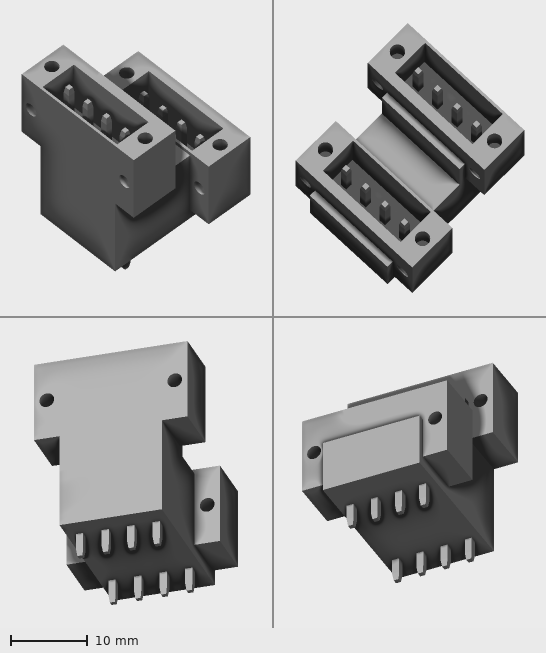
import cadquery as cq

PINS_PER_ROW = 4
PIN_PITCH = 3.5
ROW_PITCH = 13.5
TIER_RISE = 11.5

PIN_SIZE = 1.0
PIN_TIP_SIZE = 0.7
PIN_TAPER = 1.0
PIN_TAIL = 3.2
PIN_RECESS = 1.0
PIN_OFFSET = 3.5

CORE_WIDTH = PINS_PER_ROW * PIN_PITCH
STEP_HEIGHT = 12.1
LEDGE_DEPTH = 1.0
LEDGE_DROP = 5.2

BLOCK_DEPTH = 7.5
BLOCK_HEIGHT = 11.1
BLOCK_BASE = 1.6
FLANGE_WIDTH = PIN_PITCH
BLOCK_WIDTH = CORE_WIDTH + 2 * FLANGE_WIDTH

CAVITY_FRONT_WALL = 0.38
CAVITY_BACK_WALL = 1.46
CAVITY_DEPTH = 8.0
CAVITY_DRAFT = 0.14

HOLE_DIAMETER = 2.0
CROSS_HOLE_DROP = 5.5
SCREW_HOLE_DEPTH = 4.0
FLANGE_HOLE_X = (CORE_WIDTH + FLANGE_WIDTH) / 2

FRONT_ROW = (0, BLOCK_BASE + TIER_RISE)
BACK_ROW = (ROW_PITCH, BLOCK_BASE)
ROWS = [FRONT_ROW, BACK_ROW]


def rim_height(block_base):
    return block_base + BLOCK_HEIGHT


def extrude_across(points, width):
    """Extrude a Y-Z outline along X, centred on X = 0."""
    return cq.Workplane("YZ").polyline(points).close().extrude(width / 2, both=True)


def make_core():
    front_ledge_y = FRONT_ROW[0] + BLOCK_DEPTH + LEDGE_DEPTH
    back_ledge_y = BACK_ROW[0] + BLOCK_DEPTH + LEDGE_DEPTH
    front_ledge_z = rim_height(FRONT_ROW[1]) - LEDGE_DROP
    back_ledge_z = rim_height(BACK_ROW[1]) - LEDGE_DROP
    outline = [
        (0, 0),
        (back_ledge_y, 0),
        (back_ledge_y, back_ledge_z),
        (BACK_ROW[0], back_ledge_z),
        (BACK_ROW[0], STEP_HEIGHT),
        (front_ledge_y, STEP_HEIGHT),
        (front_ledge_y, front_ledge_z),
        (0, front_ledge_z),
    ]
    return extrude_across(outline, CORE_WIDTH)


def make_block(front_y, base_z):
    return (
        cq.Workplane("XY")
        .box(BLOCK_WIDTH, BLOCK_DEPTH, BLOCK_HEIGHT, centered=(True, False, False))
        .translate((0, front_y, base_z))
    )


def make_cavity(front_y, base_z):
    rim_z = rim_height(base_z)
    floor_z = rim_z - CAVITY_DEPTH
    rim_front = front_y + CAVITY_FRONT_WALL
    rim_back = front_y + BLOCK_DEPTH - CAVITY_BACK_WALL
    outline = [
        (rim_front, rim_z),
        (rim_front + CAVITY_DRAFT, floor_z),
        (rim_back - CAVITY_DRAFT, floor_z),
        (rim_back, rim_z),
    ]
    return extrude_across(outline, CORE_WIDTH)


def make_flange_holes(front_y, base_z):
    rim_z = rim_height(base_z)
    axis_z = rim_z - CROSS_HOLE_DROP
    hole_centres = [(-FLANGE_HOLE_X, 0), (FLANGE_HOLE_X, 0)]
    cross_holes = (
        cq.Workplane("XZ", origin=(0, front_y, axis_z))
        .pushPoints(hole_centres)
        .circle(HOLE_DIAMETER / 2)
        .extrude(-BLOCK_DEPTH)
    )
    screw_holes = (
        cq.Workplane("XY", origin=(0, front_y + BLOCK_DEPTH / 2, rim_z))
        .pushPoints(hole_centres)
        .circle(HOLE_DIAMETER / 2)
        .extrude(-SCREW_HOLE_DEPTH)
    )
    return cross_holes.union(screw_holes)


def make_pin_taper(start_z, direction):
    """Tapered point that grows from start_z upwards (+1) or downwards (-1)."""
    return (
        cq.Workplane("XY", origin=(0, 0, start_z))
        .rect(PIN_SIZE, PIN_SIZE)
        .workplane(offset=direction * PIN_TAPER)
        .rect(PIN_TIP_SIZE, PIN_TIP_SIZE)
        .loft(ruled=True)
    )


def make_pin(x, front_y, base_z):
    shank_bottom = PIN_TAPER - PIN_TAIL
    shank_top = rim_height(base_z) - PIN_RECESS - PIN_TAPER
    shank = (
        cq.Workplane("XY", origin=(0, 0, shank_bottom))
        .rect(PIN_SIZE, PIN_SIZE)
        .extrude(shank_top - shank_bottom)
    )
    pin = shank.union(make_pin_taper(shank_top, 1)).union(make_pin_taper(shank_bottom, -1))
    return pin.translate((x, front_y + PIN_OFFSET, 0))


def make_pins():
    first_x = -(PINS_PER_ROW - 1) * PIN_PITCH / 2
    return [
        make_pin(first_x + index * PIN_PITCH, front_y, base_z)
        for front_y, base_z in ROWS
        for index in range(PINS_PER_ROW)
    ]


def make_housing(pins):
    housing = make_core()
    for row in ROWS:
        housing = housing.union(make_block(*row))
    for row in ROWS:
        housing = housing.cut(make_cavity(*row)).cut(make_flange_holes(*row))
    for pin in pins:
        housing = housing.cut(pin)
    return housing


pins = make_pins()
housing = make_housing(pins)

result = cq.Compound.makeCompound([housing.val(), *[pin.val() for pin in pins]])